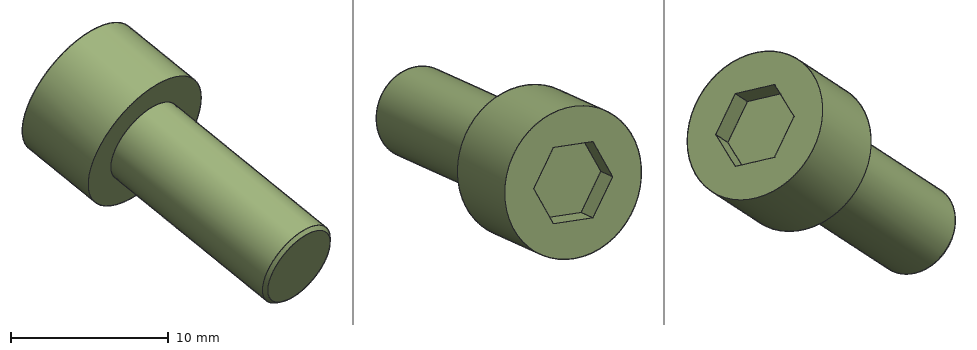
import cadquery as cq
import math

total_length = 20
head_diameter = 10
head_length = 6
shank_diameter = 6
tip_chamfer = 0.25
socket_across_flats = 5
socket_depth = 1.5

shank_length = total_length - head_length
socket_across_corners = socket_across_flats / math.cos(math.radians(30))

head = cq.Workplane("YZ").circle(head_diameter / 2).extrude(head_length)

shank = (
    cq.Workplane("YZ")
    .workplane(offset=head_length)
    .circle(shank_diameter / 2)
    .extrude(shank_length)
    .faces(">X")
    .chamfer(tip_chamfer)
)

socket = cq.Workplane("YZ").polygon(6, socket_across_corners).extrude(socket_depth)

result = head.union(shank).cut(socket)